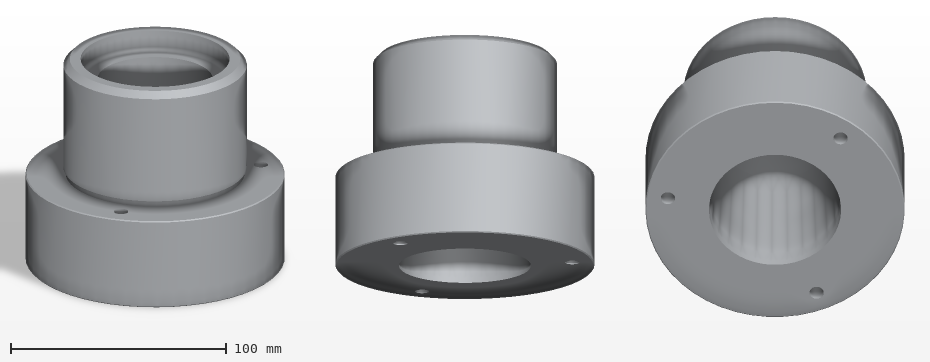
import cadquery as cq

total_height = 100.0

flange_radius = 60.0
flange_height = 43.0
flange_edge_chamfer = 0.5

neck_radius = 41.5
neck_height = 3.0

hub_radius = 42.5
hub_chamfer = 3.0

bore_top_radius = 26.7
bore_middle_radius = 27.9
bore_base_radius = 30.6
bore_upper_length = 22.0
seat_radius = 34.5
seat_depth = 10.0
seat_fillet = 2.0

bolt_count = 3
bolt_hole_diameter = 6.6
bolt_circle_radius = 50.0
first_bolt_angle = -90.0


def make_flange():
    """Disc at the base with both rims lightly chamfered."""
    disc = cq.Workplane("XY").circle(flange_radius).extrude(flange_height)
    return disc.edges().chamfer(flange_edge_chamfer)


def make_hub():
    """Relief neck on the flange, then the larger hub with a chamfered top rim."""
    neck = cq.Workplane("XY").workplane(offset=flange_height).circle(neck_radius).extrude(neck_height)
    hub_base = flange_height + neck_height
    hub = (
        cq.Workplane("XY")
        .workplane(offset=hub_base)
        .circle(hub_radius)
        .extrude(total_height - hub_base)
        .faces(">Z")
        .edges()
        .chamfer(hub_chamfer)
    )
    return neck.union(hub)


def make_bore():
    """Through bore in two coaxial tapers, widening from the seat floor to the base."""
    top_z = total_height - seat_depth
    middle_z = top_z - bore_upper_length
    half_profile = (
        cq.Workplane("XZ")
        .lineTo(0, top_z)
        .lineTo(bore_top_radius, top_z)
        .lineTo(bore_middle_radius, middle_z)
        .lineTo(bore_base_radius, 0)
        .close()
    )
    return half_profile.revolve(360, (0, 0, 0), (0, 1, 0))


def make_seat():
    """Counterbore in the hub top with a rounded floor corner."""
    floor = cq.Workplane("XY").workplane(offset=total_height - seat_depth)
    seat = floor.circle(seat_radius).extrude(seat_depth)
    return seat.faces("<Z").edges().fillet(seat_fillet)


def make_bolt_holes():
    """Holes through the flange, evenly spaced on the bolt circle."""
    return (
        cq.Workplane("XY")
        .polarArray(bolt_circle_radius, first_bolt_angle, 360, bolt_count)
        .circle(bolt_hole_diameter / 2)
        .extrude(flange_height)
    )


result = make_flange().union(make_hub())
result = result.cut(make_bore()).cut(make_seat()).cut(make_bolt_holes())